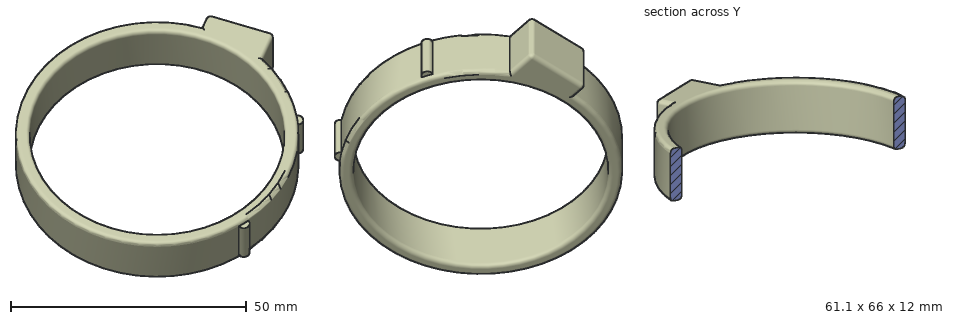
import cadquery as cq
import math

inner_diameter = 54.0
outer_diameter = 60.0
height = 12.0
edge_radius = 1.0

block_angle = 117.0
block_width = 15.0
block_reach = 33.64
block_shift = 6.55

rib_diameter = 2.5
rib_angles = (-5.0, 55.0)

outer_radius = outer_diameter / 2
inner_radius = inner_diameter / 2
block_root = inner_radius / 2
rib_height = height - 2 * edge_radius

AXIS_START = (0, 0, 0)
AXIS_END = (0, 0, 1)


def make_block():
    """Box from inside the ring bore out to the block's outer face."""
    return (
        cq.Workplane("XY")
        .box(block_reach - block_root, block_width, height, centered=(False, True, False))
        .translate((block_root, -block_shift, 0))
        .rotate(AXIS_START, AXIS_END, block_angle)
    )


def make_ring_with_block():
    """Ring joined to the block and bored through, with rims and block corners rounded."""
    bore = cq.Workplane("XY").circle(inner_radius).extrude(height)
    body = cq.Workplane("XY").circle(outer_radius).extrude(height)
    body = body.union(make_block()).cut(bore)

    angle = math.radians(block_angle)
    outward = cq.Vector(math.cos(angle), math.sin(angle), 0)
    corner_edges = [
        edge
        for edge in body.edges("|Z").vals()
        if edge.Center().dot(outward) > block_reach - edge_radius
    ]
    rim_edges = body.faces("<Z or >Z").edges().vals()
    return body.newObject(corner_edges + rim_edges).fillet(edge_radius)


def make_rib(angle):
    """Upright round rib centred on the outer surface of the ring."""
    return (
        cq.Workplane("XY", origin=(outer_radius, 0, edge_radius))
        .circle(rib_diameter / 2)
        .extrude(rib_height)
        .rotate(AXIS_START, AXIS_END, angle)
    )


ring = make_ring_with_block()
for rib_angle in rib_angles:
    ring = ring.union(make_rib(rib_angle))

result = cq.Compound.makeCompound([ring.solids().val()])